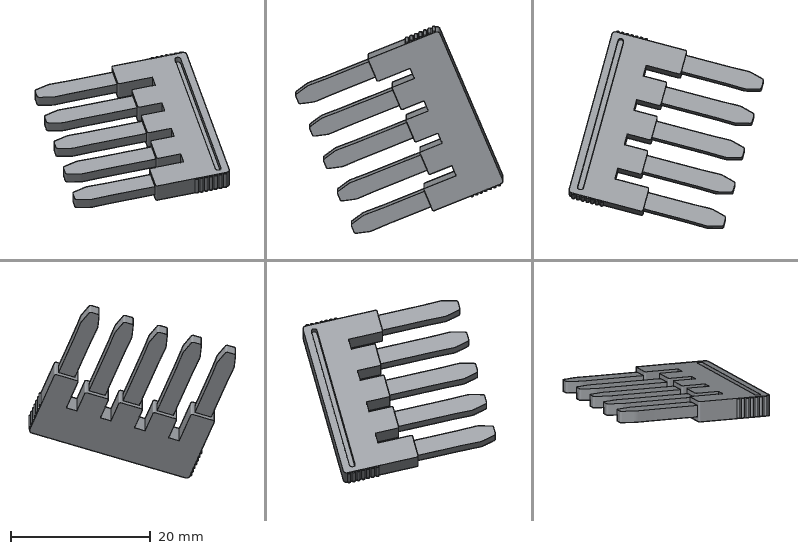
import cadquery as cq


total_width = 24.8
total_length = 22.7
thickness = 3.0

pin_count = 5
pin_row_span = 20.8
pin_pitch = pin_row_span / (pin_count - 1)
tab_width = 3.6
notch_start = 5.93
inner_tab_end = 9.45
outer_tab_end = 11.02
back_corner_radius = 0.5
tab_corner_radius = 0.25
housing_width = pin_row_span + tab_width

slot_length = 22.9
slot_width = 0.82
slot_depth = 1.0
slot_center = 1.5

rib_count = 7
rib_row_span = 4.2
rib_pitch = rib_row_span / (rib_count - 1)
first_rib = 0.75
rib_radius = 0.25
rib_end_inset = 0.07
rib_height = thickness - 2 * rib_end_inset
rib_axis_x = total_width / 2 - rib_radius

pin_thickness = 1.69
shank_width = 2.48
head_width = 2.6
tip_width = 1.45
flare_start = 17.62
taper_start = 20.5
shoulder_search = 0.25
shoulder_radius = 1.98
tip_radius = 0.32

pin_centers = [i * pin_pitch - pin_row_span / 2 for i in range(pin_count)]


def block(center_x, width, y_near, y_far):
    """Full-thickness block between two distances from the back edge."""
    length = y_far - y_near
    return (
        cq.Workplane("XY")
        .box(width, length, thickness)
        .translate((center_x, -(y_near + y_far) / 2, 0))
    )


def make_housing():
    housing = block(0, housing_width, 0, notch_start).edges("|Z and >Y").fillet(back_corner_radius)
    for index, center in enumerate(pin_centers):
        is_outer = index in (0, pin_count - 1)
        tab_end = outer_tab_end if is_outer else inner_tab_end
        tab = block(center, tab_width, notch_start, tab_end)
        housing = housing.union(tab.edges("|Z and <Y").fillet(tab_corner_radius))
    return housing.clean()


def make_slot():
    return (
        cq.Workplane("XY", origin=(0, -slot_center, thickness / 2))
        .slot2D(slot_length, slot_width)
        .extrude(-slot_depth)
    )


def make_ribs():
    centers = [
        (side * rib_axis_x, -(first_rib + i * rib_pitch))
        for side in (-1, 1)
        for i in range(rib_count)
    ]
    return (
        cq.Workplane("XY", origin=(0, 0, -rib_height / 2))
        .pushPoints(centers)
        .circle(rib_radius)
        .extrude(rib_height)
    )


def make_pin():
    """Pin centred on X = 0, slightly flared toward the head and tapered at the tip."""
    right_side = [
        (shank_width / 2, -notch_start),
        (shank_width / 2, -flare_start),
        (head_width / 2, -taper_start),
        (tip_width / 2, -total_length),
    ]
    left_side = [(-x, y) for x, y in reversed(right_side)]
    pin = (
        cq.Workplane("XY", origin=(0, 0, -pin_thickness / 2))
        .polyline(right_side + left_side)
        .close()
        .extrude(pin_thickness)
    )
    shoulder_box = cq.selectors.BoxSelector(
        (-head_width, -taper_start - shoulder_search, -thickness),
        (head_width, -taper_start + shoulder_search, thickness),
    )
    pin = pin.edges("|Z").edges(shoulder_box).fillet(shoulder_radius)
    return pin.edges("|Z and <Y").fillet(tip_radius)


result = make_housing().cut(make_slot()).union(make_ribs())
pin = make_pin()
for center in pin_centers:
    result = result.union(pin.translate((center, 0, 0)))